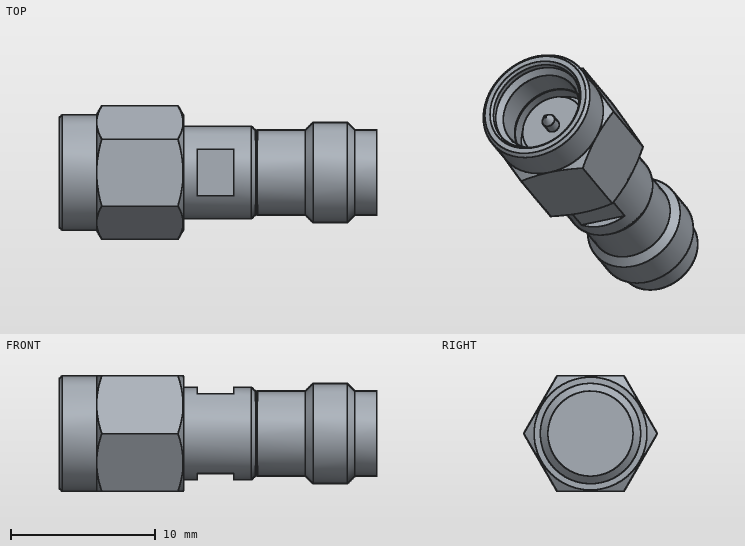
import cadquery as cq
import math


hex_across_corners = 9.25
hex_corner_radius = hex_across_corners / 2
nut_radius = hex_corner_radius * math.cos(math.radians(30))
nut_front_chamfer = 0.22
hex_start = 2.6
hex_end = 8.63
hex_rear_corner_x = 8.2
hex_chamfer_slope = math.tan(math.radians(30))

body_radius = 3.2
body_end = 13.57
body_chamfer = 0.29

flat_start = 9.55
flat_end = 12.05
flat_height = 2.77

groove_radius = 2.24
barrel_start = 13.7
barrel_radius = 2.95
barrel_end = 21.95
collar_start = 17.01
collar_end = 20.44
collar_bevel = 0.53
collar_radius = barrel_radius + collar_bevel

mouth_radius = 3.4
counterbore_radius = 3.23
mouth_depth = 0.2
bore_radius = 2.83
cone_start = 0.61
cone_end = cone_start + counterbore_radius - bore_radius
bore_end = 3.03
seat_radius = 2.8
seat_lead_in = 0.07
seat_depth = 4.17

insulator_radius = 2.28
insulator_height = 1.0

pin_radius = 0.45
pin_tip_radius = 0.09
pin_tip_x = 1.75
pin_taper = 0.57


def revolve_profile(stations):
    """Solid of revolution about X from (x, radius) stations, closed along the axis."""
    outline = [(stations[0][0], 0)] + stations + [(stations[-1][0], 0)]
    return cq.Workplane("XY").polyline(outline).close().revolve(360, (0, 0, 0), (1, 0, 0))


def make_shell():
    """Round outside of the connector, from the nut collar to the rear end."""
    return revolve_profile([
        (0, nut_radius - nut_front_chamfer),
        (nut_front_chamfer, nut_radius),
        (hex_start, nut_radius),
        (hex_start, body_radius),
        (body_end - body_chamfer, body_radius),
        (body_end, body_radius - body_chamfer),
        (body_end, groove_radius),
        (barrel_start, groove_radius),
        (barrel_start, barrel_radius),
        (collar_start, barrel_radius),
        (collar_start + collar_bevel, collar_radius),
        (collar_end - collar_bevel, collar_radius),
        (collar_end, barrel_radius),
        (barrel_end, barrel_radius),
    ])


def make_hexagon():
    """Hexagon with corners on +Y and -Y, its ends trimmed by 30 degree cones."""
    prism = (
        cq.Workplane("YZ")
        .workplane(offset=hex_start)
        .polygon(6, hex_across_corners)
        .extrude(hex_end - hex_start)
    )
    front_chamfer = (hex_corner_radius - nut_radius) * hex_chamfer_slope
    rear_radius = hex_corner_radius - (hex_end - hex_rear_corner_x) / hex_chamfer_slope
    cones = revolve_profile([
        (hex_start, nut_radius),
        (hex_start + front_chamfer, hex_corner_radius),
        (hex_rear_corner_x, hex_corner_radius),
        (hex_end, rear_radius),
    ])
    return prism.intersect(cones)


def make_wrench_flats():
    """Two blocks that cut the opposed wrench flats."""
    length = flat_end - flat_start
    depth = body_radius - flat_height
    block = cq.Workplane("XY").box(length, 2 * body_radius, depth, centered=(False, True, False))
    upper = block.translate((flat_start, 0, flat_height))
    return upper.union(upper.mirror("XY"))


def make_bore():
    """Stepped cavity opening at the front of the nut."""
    return revolve_profile([
        (0, mouth_radius),
        (mouth_depth, counterbore_radius),
        (cone_start, counterbore_radius),
        (cone_end, bore_radius),
        (bore_end, bore_radius),
        (bore_end + seat_lead_in, seat_radius),
        (seat_depth, seat_radius),
    ])


def make_insulator_and_pin():
    """Raised insulator face with the pin projecting from it."""
    insulator_face = seat_depth - insulator_height
    return revolve_profile([
        (pin_tip_x, pin_tip_radius),
        (pin_tip_x + pin_taper, pin_radius),
        (insulator_face, pin_radius),
        (insulator_face, insulator_radius),
        (seat_depth, insulator_radius),
    ])


result = (
    make_shell()
    .union(make_hexagon())
    .cut(make_wrench_flats())
    .cut(make_bore())
    .union(make_insulator_and_pin())
)